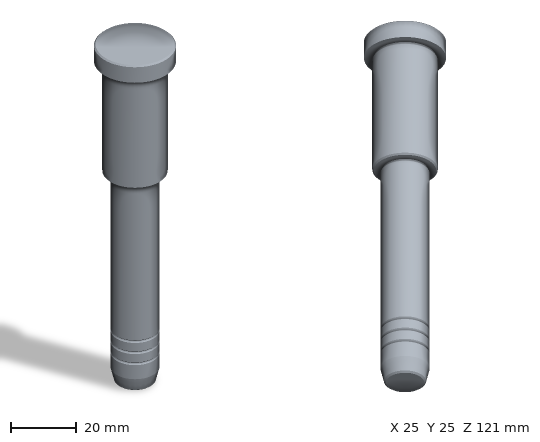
import cadquery as cq

length = 121.0
head_radius = 25.0 / 2
head_height = 6.0
body_radius = 20.0 / 2
body_bottom = 75.0
shank_radius = 15.0 / 2

head_chamfer = 0.5
body_chamfer = 0.5
tip_chamfer = 0.5

relief_depth = 0.4
relief_straight = 0.4
relief_height = 1.0

groove_count = 3
groove_width = 1.0
groove_depth = groove_width / 2
groove_pitch = 4.0
first_groove_bottom = 10.0

tip_height = 5.0
tip_radius = 6.3

head_bottom = length - head_height


def cylinder(radius, bottom, top):
    return cq.Workplane("XY").workplane(offset=bottom).circle(radius).extrude(top - bottom)


def relief(radius, top):
    """Ring that cuts a shallow neck, sloping back out to the full radius at its lower end."""
    neck_radius = radius - relief_depth
    return (
        cq.Workplane("XZ")
        .moveTo(neck_radius, top)
        .lineTo(radius, top)
        .lineTo(radius, top - relief_height)
        .lineTo(neck_radius, top - relief_straight)
        .close()
        .revolve(360, (0, 0, 0), (0, 1, 0))
    )


def groove(bottom):
    """V-shaped ring cut into the shank."""
    return (
        cq.Workplane("XZ")
        .moveTo(shank_radius, bottom)
        .lineTo(shank_radius, bottom + groove_width)
        .lineTo(shank_radius - groove_depth, bottom + groove_width / 2)
        .close()
        .revolve(360, (0, 0, 0), (0, 1, 0))
    )


head = cylinder(head_radius, head_bottom, length).faces(">Z").edges().chamfer(head_chamfer)
body = cylinder(body_radius, body_bottom, head_bottom).faces("<Z").edges().chamfer(body_chamfer)
shank = cylinder(shank_radius, tip_height, body_bottom)
tip = (
    cq.Workplane("XY")
    .circle(tip_radius)
    .workplane(offset=tip_height)
    .circle(shank_radius)
    .loft(ruled=True)
    .faces("<Z")
    .edges()
    .chamfer(tip_chamfer)
)
result = head.union(body).union(shank).union(tip)

result = result.cut(relief(body_radius, head_bottom)).cut(relief(shank_radius, body_bottom))
for index in range(groove_count):
    result = result.cut(groove(first_groove_bottom + index * groove_pitch))